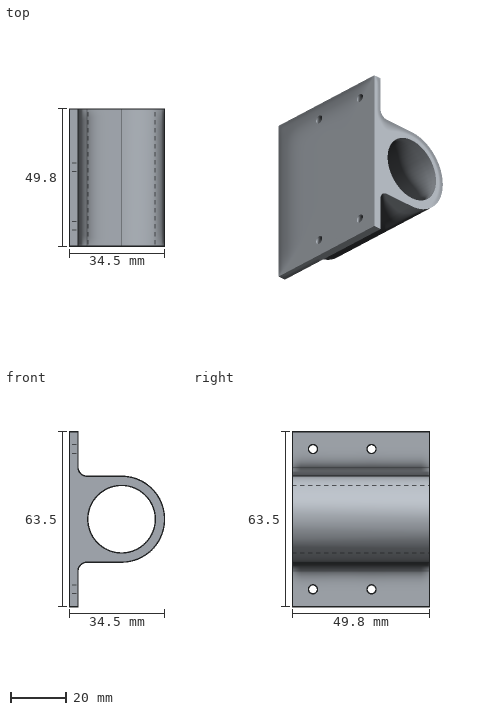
import cadquery as cq

plate_height = 63.5
plate_thickness = 3.2
length = 49.8

overall_depth = 34.55
holder_radius = 15.6
bore_diameter = 24.4
fillet_radius = 3.2
axis_x = overall_depth - holder_radius

screw_diameter = 3.2
screw_edge_margin = 6.35
screw_first_y = 7.5
screw_spacing_y = 21.2
screw_offset_z = plate_height / 2 - screw_edge_margin


def make_plate():
    return cq.Workplane("XY").box(
        plate_thickness, length, plate_height, centered=(False, False, True)
    )


def make_holder():
    """Block with a half-round end, extruded from the front face along +Y."""
    return (
        cq.Workplane("XZ")
        .moveTo(0, -holder_radius)
        .lineTo(axis_x, -holder_radius)
        .threePointArc((overall_depth, 0), (axis_x, holder_radius))
        .lineTo(0, holder_radius)
        .close()
        .extrude(-length)
    )


def make_bore():
    return cq.Workplane("XZ").center(axis_x, 0).circle(bore_diameter / 2).extrude(-length)


def make_screw_holes():
    centers = [
        (y, z)
        for y in (screw_first_y, screw_first_y + screw_spacing_y)
        for z in (-screw_offset_z, screw_offset_z)
    ]
    return cq.Workplane("YZ").pushPoints(centers).circle(screw_diameter / 2).extrude(plate_thickness)


body = make_plate().union(make_holder())

corner_reach = fillet_radius / 2
for side in (-1, 1):
    corner = cq.selectors.BoxSelector(
        (plate_thickness - corner_reach, -length, side * holder_radius - corner_reach),
        (plate_thickness + corner_reach, 2 * length, side * holder_radius + corner_reach),
    )
    body = body.edges("|Y").edges(corner).fillet(fillet_radius)

result = body.cut(make_bore()).cut(make_screw_holes())